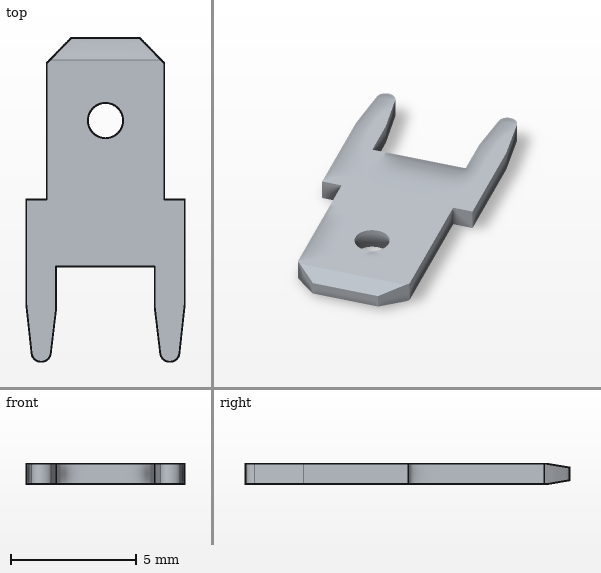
import cadquery as cq

length = 12.95
body_width = 6.35
thickness = 0.82

blade_width = 4.71
shoulder_y = 6.5
nose_width = 2.75
nose_length = 1.01
bevel_length = 0.88
nose_thickness = 0.52
hole_diameter = 1.4
hole_y = 9.65

slot_width = 3.94
slot_end_y = 3.81
outer_taper_y = 2.3
inner_taper_y = 2.14
tip_width = 0.78
tip_height = 0.35

half_body = body_width / 2
half_slot = slot_width / 2
leg_center_x = (half_body + half_slot) / 2


def rectangle_plate(width, y_start, y_end):
    """Full-thickness plate centred on X = 0."""
    return (
        cq.Workplane("XY")
        .center(0, (y_start + y_end) / 2)
        .rect(width, y_end - y_start)
        .extrude(thickness)
    )


def leg(side):
    """Tapered leg with a rounded tip; side is -1 or +1 along X."""
    return (
        cq.Workplane("XY")
        .moveTo(side * half_slot, slot_end_y)
        .lineTo(side * half_slot, inner_taper_y)
        .lineTo(side * (leg_center_x - tip_width / 2), tip_height)
        .threePointArc(
            (side * leg_center_x, 0),
            (side * (leg_center_x + tip_width / 2), tip_height),
        )
        .lineTo(side * half_body, outer_taper_y)
        .lineTo(side * half_body, slot_end_y)
        .close()
        .extrude(thickness)
    )


def blade():
    """Flat blade with cut nose corners, bevelled faces and a through hole."""
    nose_start_y = length - nose_length
    outline = (
        cq.Workplane("XY")
        .moveTo(-blade_width / 2, shoulder_y)
        .lineTo(blade_width / 2, shoulder_y)
        .lineTo(blade_width / 2, nose_start_y)
        .lineTo(nose_width / 2, length)
        .lineTo(-nose_width / 2, length)
        .lineTo(-blade_width / 2, nose_start_y)
        .close()
        .extrude(thickness)
    )
    bevel_y = length - bevel_length
    bevel_depth = (thickness - nose_thickness) / 2
    side_profile = (
        cq.Workplane("YZ")
        .moveTo(shoulder_y, 0)
        .lineTo(bevel_y, 0)
        .lineTo(length, bevel_depth)
        .lineTo(length, thickness - bevel_depth)
        .lineTo(bevel_y, thickness)
        .lineTo(shoulder_y, thickness)
        .close()
        .extrude(blade_width / 2, both=True)
    )
    hole = cq.Workplane("XY").center(0, hole_y).circle(hole_diameter / 2).extrude(thickness)
    return outline.intersect(side_profile).cut(hole)


result = rectangle_plate(body_width, slot_end_y, shoulder_y).union(blade())
for side in (-1, 1):
    result = result.union(leg(side))
result = result.clean()